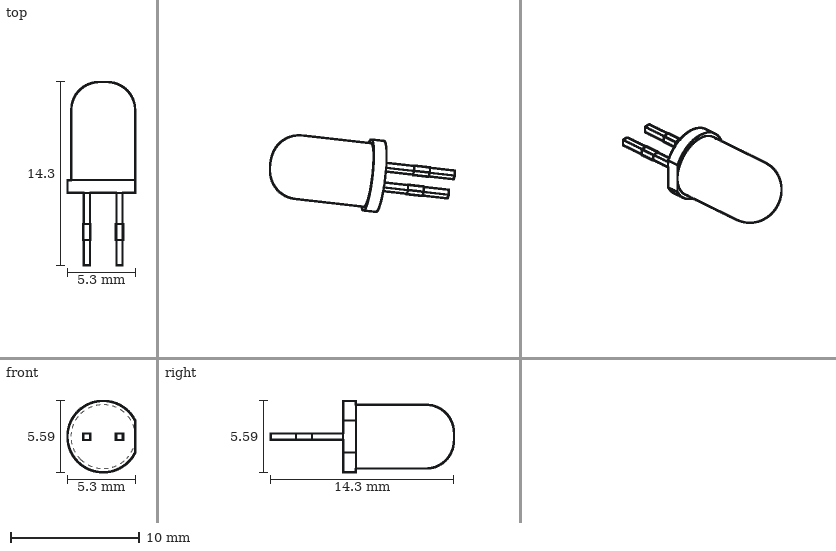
import cadquery as cq

OVERALL_LENGTH = 14.3

LENS_DIAMETER = 5.0
LENS_RADIUS = LENS_DIAMETER / 2
DOME_RADIUS = 2.2
FLANGE_DIAMETER = 5.59
FLANGE_THICKNESS = 1.0

LEAD_WIDTH = 0.5
LEAD_SPACING = 2.55
LEAD_LENGTH = 5.65
LENS_HEIGHT = OVERALL_LENGTH - LEAD_LENGTH

COLLAR_WIDTH = 0.6
COLLAR_LENGTH = 1.25
COLLAR_SKIN = 0.007
COLLAR_HEIGHT = LEAD_WIDTH + 2 * COLLAR_SKIN
COLLAR_OFFSET = 2.42


def cylinder_along_y(diameter, height):
    """Cylinder standing on Y = 0 and reaching toward +Y."""
    return cq.Workplane("XZ").circle(diameter / 2).extrude(-height)


def bar_along_y(width, height, length, x, start):
    """Rectangular bar centred on x, running from Y = -start toward -Y."""
    return (
        cq.Workplane("XZ", origin=(x, -start, 0))
        .rect(width, height)
        .extrude(length)
    )


def make_lens():
    """Domed lens with its flange, flattened level with the lens side."""
    barrel = cylinder_along_y(LENS_DIAMETER, LENS_HEIGHT)
    domed = barrel.faces(">Y").edges().fillet(DOME_RADIUS)

    flange = cylinder_along_y(FLANGE_DIAMETER, FLANGE_THICKNESS)
    flat_center_x = LENS_RADIUS - FLANGE_DIAMETER / 2
    kept_side = bar_along_y(
        FLANGE_DIAMETER, FLANGE_DIAMETER, FLANGE_THICKNESS, flat_center_x, -FLANGE_THICKNESS
    )
    return domed.union(flange.intersect(kept_side))


def make_lead(x):
    """Straight square lead."""
    return bar_along_y(LEAD_WIDTH, LEAD_WIDTH, LEAD_LENGTH, x, 0)


def make_collar(x):
    """Sleeve with a through hole that matches the lead."""
    block = bar_along_y(COLLAR_WIDTH, COLLAR_HEIGHT, COLLAR_LENGTH, x, COLLAR_OFFSET)
    return block.cut(make_lead(x))


lens = make_lens()
lead_positions = [-LEAD_SPACING / 2, LEAD_SPACING / 2]
leads = [make_lead(x).val() for x in lead_positions]
collars = [make_collar(x).solids().val() for x in lead_positions]

result = cq.Compound.makeCompound([lens.solids().val(), *leads, *collars])